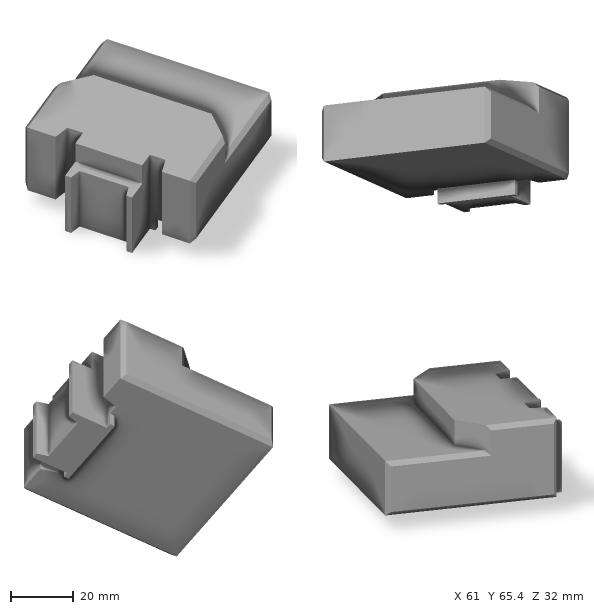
import cadquery as cq

width = 61.0
total_length = 65.4
total_height = 32.0

tongue_reach = 7.4
body_length = total_length - tongue_reach
body_bottom = 4.9
step_height = 23.4
side_chamfer = 1.5
raised_length = 32.05
raised_corner = 9.5

recess_depth = 5.6
recess_mouth = 38.05
recess_floor = 35.05

tongue_width = 23.95
tongue_height = 24.0
flange_width = 27.85
flange_thickness = 1.75
groove_depth = 4.0
groove_mouth = 19.75
groove_floor = 17.5


def block(block_width, y_front, y_back, z_bottom, z_top):
    """Box centred on X = 0 between the given Y and Z limits."""
    return (
        cq.Workplane("XY", origin=(0, 0, z_bottom))
        .center(0, (y_front + y_back) / 2)
        .rect(block_width, y_back - y_front)
        .extrude(z_top - z_bottom)
    )


def tapered_prism(mouth_width, floor_width, y_front, depth):
    """Full-height trapezoid that narrows from its mouth towards +Y."""
    return (
        cq.Workplane("XY")
        .polyline([
            (-mouth_width / 2, y_front),
            (mouth_width / 2, y_front),
            (floor_width / 2, y_front + depth),
            (-floor_width / 2, y_front + depth),
        ])
        .close()
        .extrude(total_height)
    )


def chamfered_block(z_top):
    """Full-size body block with every edge of its two side faces chamfered."""
    body_block = block(width, 0, body_length, body_bottom, z_top)
    return body_block.faces("<X or >X").edges().chamfer(side_chamfer)


def make_raised_portion():
    """Full-height front portion with both rear corners cut off."""
    half_width = width / 2
    corner_start = raised_length - raised_corner
    outline = (
        cq.Workplane("XY")
        .polyline([
            (-half_width, 0),
            (half_width, 0),
            (half_width, corner_start),
            (half_width - raised_corner, raised_length),
            (-half_width + raised_corner, raised_length),
            (-half_width, corner_start),
        ])
        .close()
        .extrude(total_height)
    )
    return chamfered_block(total_height).intersect(outline)


def make_tongue():
    """Grooved tongue with a wider flange, seated against the recess floor."""
    flange_back = recess_depth + flange_thickness
    tongue = block(tongue_width, -tongue_reach, flange_back, 0, tongue_height)
    flange = block(flange_width, recess_depth, flange_back, 0, tongue_height)
    groove = tapered_prism(groove_mouth, groove_floor, -tongue_reach, groove_depth)
    return tongue.union(flange).cut(groove)


recess = tapered_prism(recess_mouth, recess_floor, 0, recess_depth)
central_rib = block(tongue_width, 0, recess_depth, body_bottom, total_height)

body = chamfered_block(step_height).union(make_raised_portion())
result = body.cut(recess).union(central_rib).union(make_tongue())